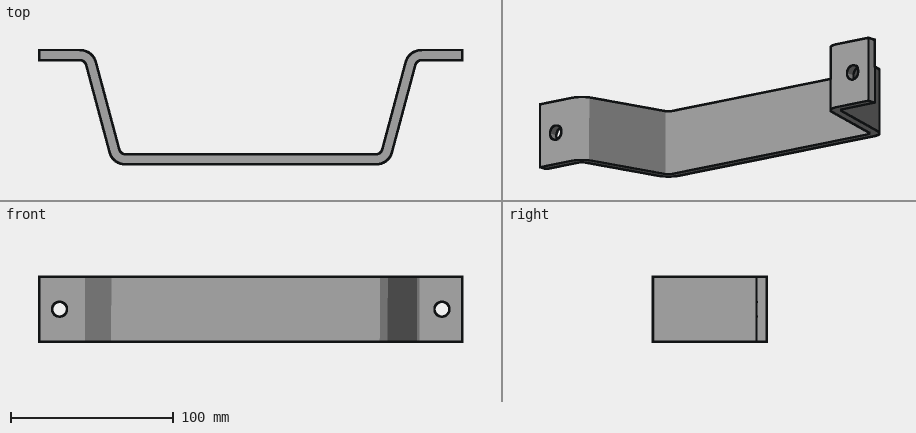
import cadquery as cq
import math

overall_length = 260.0
overall_depth = 70.35
strip_width = 40.0
thickness = 6.35
bend_angle = math.radians(75.0)
inner_radius = 3.8
foot_flat = 25.1
hole_diameter = 9.0
hole_edge_distance = 12.5

outer_radius = inner_radius + thickness
half_length = overall_length / 2
sin_bend = math.sin(bend_angle)
cos_bend = math.cos(bend_angle)
bends_depth = (inner_radius + outer_radius) * (1 - cos_bend)
leg_depth = overall_depth - thickness - bends_depth
leg_run = leg_depth / math.tan(bend_angle)


def make_strip():
    """Bent flat bar: feet at the back (y = 0), grip at the front."""
    foot_bend_x = half_length - foot_flat
    foot_centre_y = -thickness - inner_radius
    grip_centre_y = outer_radius - overall_depth
    grip_bend_x = foot_bend_x - (inner_radius + outer_radius) * sin_bend - leg_run

    def foot_leg_end(radius):
        return (foot_bend_x - radius * sin_bend, foot_centre_y + radius * cos_bend)

    def grip_leg_end(radius):
        return (grip_bend_x + radius * sin_bend, grip_centre_y - radius * cos_bend)

    right_half = (
        cq.Workplane("XY")
        .workplane(offset=-strip_width / 2)
        .moveTo(0, -overall_depth)
        .lineTo(grip_bend_x, -overall_depth)
        .radiusArc(grip_leg_end(outer_radius), -outer_radius)
        .lineTo(*foot_leg_end(inner_radius))
        .radiusArc((foot_bend_x, -thickness), inner_radius)
        .lineTo(half_length, -thickness)
        .lineTo(half_length, 0)
        .lineTo(foot_bend_x, 0)
        .radiusArc(foot_leg_end(outer_radius), -outer_radius)
        .lineTo(*grip_leg_end(inner_radius))
        .radiusArc((grip_bend_x, thickness - overall_depth), inner_radius)
        .lineTo(0, thickness - overall_depth)
        .close()
        .extrude(strip_width)
    )
    return right_half.union(right_half.mirror("YZ")).clean()


def make_mounting_holes():
    """Cutting pins along Y, one through each foot at mid width."""
    hole_x = half_length - hole_edge_distance
    return (
        cq.Workplane("XZ")
        .pushPoints([(-hole_x, 0), (hole_x, 0)])
        .circle(hole_diameter / 2)
        .extrude(thickness)
    )


result = make_strip().cut(make_mounting_holes())